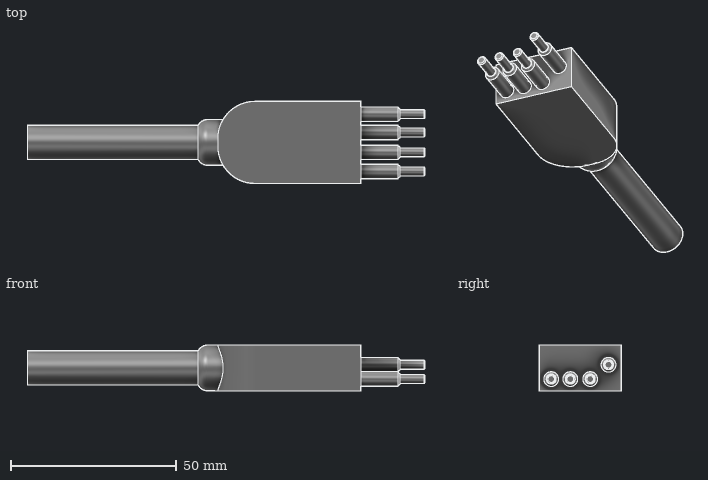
import cadquery as cq

total_length = 120.5
body_start = 57.7
body_end = 101.0
body_width = 25.0
body_height = 14.0
body_corner_radius = 11.2

cable_diameter = 10.5
collar_diameter = body_height
collar_start = 51.3
collar_nose_radius = 3.4

sleeve_diameter = 4.5
sleeve_end = 112.9
sleeve_chamfer = 0.7
contact_diameter = 2.8
contact_chamfer = 0.4

low_row_z = -3.4
high_row_z = 1.0
pin_positions = [
    (8.5, high_row_z),
    (3.0, low_row_z),
    (-3.0, low_row_z),
    (-8.8, low_row_z),
]


def make_rod(diameter, start, end, y=0, z=0):
    """Round rod parallel to X from start to end."""
    return cq.Workplane("YZ", origin=(start, y, z)).circle(diameter / 2).extrude(end - start)


def make_body():
    """Flat block with its two cable-side vertical edges rounded."""
    length = body_end - body_start
    block = cq.Workplane("XY").box(length, body_width, body_height)
    block = block.translate((body_start + length / 2, 0, 0))
    return block.edges("|Z and <X").fillet(body_corner_radius)


def make_cable_and_collar():
    """Round cable entering a collar with a rounded nose; both end inside the body."""
    root = body_start + body_corner_radius
    cable = make_rod(cable_diameter, 0, root)
    collar = make_rod(collar_diameter, collar_start, root)
    collar = collar.faces("<X").edges().fillet(collar_nose_radius)
    return cable.union(collar)


def make_pin(y, z):
    """Chamfered sleeve with a thinner contact running out to the tip."""
    sleeve = make_rod(sleeve_diameter, body_end, sleeve_end, y, z)
    sleeve = sleeve.faces(">X").chamfer(sleeve_chamfer)
    contact = make_rod(contact_diameter, body_end, total_length, y, z)
    contact = contact.faces(">X").chamfer(contact_chamfer)
    return sleeve.union(contact)


result = make_body().union(make_cable_and_collar())
for pin_y, pin_z in pin_positions:
    result = result.union(make_pin(pin_y, pin_z))